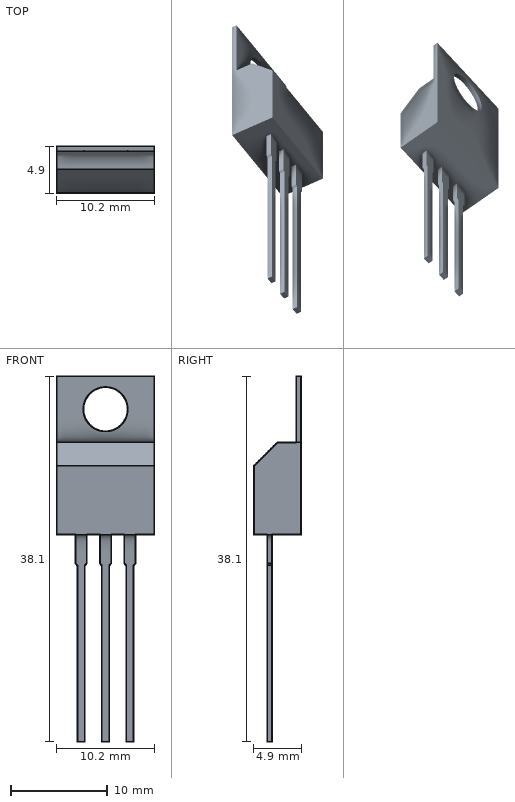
import cadquery as cq


case_width = 10.16
case_depth = 4.9
case_height = 9.62
case_chamfer = 2.46

tab_thickness = 0.52
tab_height = 6.88
hole_diameter = 4.59
hole_center_z = case_height + tab_height / 2

lead_count = 3
lead_pitch = 2.54
lead_thickness = 0.52
lead_back_offset = 3.0
shoulder_width = 1.2
shoulder_length = 3.0
shoulder_taper = 0.2
tip_width = 0.79
overall_height = 38.08
lead_length = overall_height - case_height - tab_height

case_front_y = -case_depth / 2
case_back_y = case_depth / 2
lead_back_y = case_back_y - lead_back_offset


def make_case():
    """Block with a sloped upper front edge."""
    profile = [
        (case_front_y, 0),
        (case_back_y, 0),
        (case_back_y, case_height),
        (case_front_y + case_chamfer, case_height),
        (case_front_y, case_height - case_chamfer),
    ]
    return cq.Workplane("YZ").polyline(profile).close().extrude(case_width / 2, both=True)


def make_tab():
    """Flat plate standing on the case, flush with its back, with a round mounting hole."""
    back_plane = cq.Workplane("XZ", origin=(0, case_back_y, hole_center_z))
    return back_plane.rect(case_width, tab_height).circle(hole_diameter / 2).extrude(tab_thickness)


def make_lead(x):
    """Flat lead hanging from the case bottom: wide shoulder, short taper, narrow tip."""
    taper_end_z = -shoulder_length - shoulder_taper
    profile = [
        (-shoulder_width / 2, 0),
        (shoulder_width / 2, 0),
        (shoulder_width / 2, -shoulder_length),
        (tip_width / 2, taper_end_z),
        (tip_width / 2, -lead_length),
        (-tip_width / 2, -lead_length),
        (-tip_width / 2, taper_end_z),
        (-shoulder_width / 2, -shoulder_length),
    ]
    lead_plane = cq.Workplane("XZ", origin=(x, lead_back_y, 0))
    return lead_plane.polyline(profile).close().extrude(lead_thickness)


case = make_case()
tab = make_tab()
leads = []
for index in range(lead_count):
    lead_x = (index - (lead_count - 1) / 2) * lead_pitch
    leads.append(make_lead(lead_x))

result = cq.Compound.makeCompound([case.val(), tab.val(), *[lead.val() for lead in leads]])